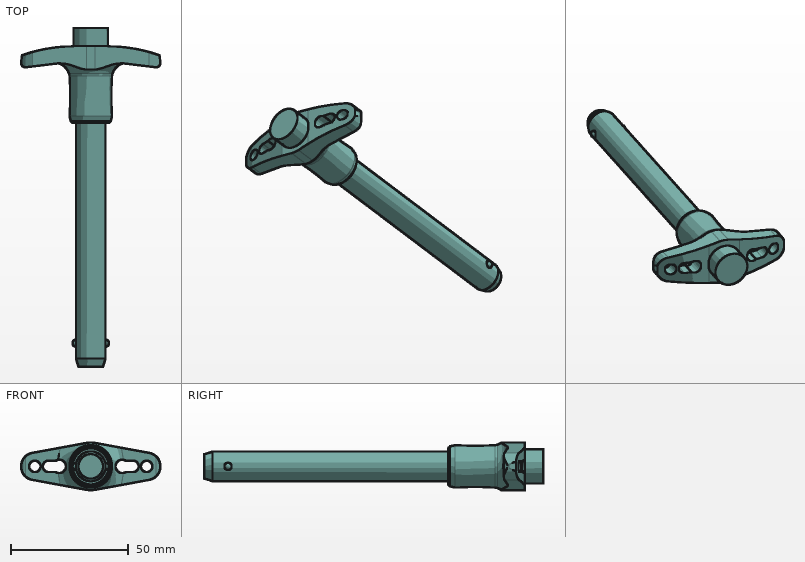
import math

import cadquery as cq


BUTTON_END_Y = 40.4
HANDLE_TOP_Y = 32.6
TOTAL_LENGTH = 143.76
SHANK_END_Y = BUTTON_END_Y - TOTAL_LENGTH

BUTTON_RADIUS = 7.35
SHANK_RADIUS = 6.35
SHANK_TIP_RADIUS = 5.2
SHANK_TIP_LENGTH = 3.6

BALL_RADIUS = 1.55
BALL_OFFSET = 6.2
BALL_TO_SHANK_END = 10.1
BALL_Y = SHANK_END_Y + BALL_TO_SHANK_END

HANDLE_HALF_WIDTH = 10.16
HANDLE_HALF_LENGTH = 29.56
TIP_RADIUS = 5.86
TIP_CENTER_X = HANDLE_HALF_LENGTH - TIP_RADIUS

TOP_FLAT_HALF_LENGTH = 7.0
TOP_ARC_RADIUS = 66.0
TIP_TOP_X = 29.2
TIP_CREST_OVERHANG = 0.02
TIP_CREST_X = HANDLE_HALF_LENGTH + TIP_CREST_OVERHANG
TIP_CREST_Y = 25.6
TIP_ROUND_RADIUS = 2.0
UNDERSIDE_APEX_Y = 26.95
TIP_BOTTOM_Y = TIP_CREST_Y - TIP_ROUND_RADIUS
TIP_BOTTOM_X = TIP_CREST_X - TIP_ROUND_RADIUS

FLARE_RADIUS = 15.8
FLARE_Y = 25.35
FLARE_RIM_RADIUS = 16.6
FLARE_OVERLAP = 2.0
FLARE_MID_RADIUS = 10.3
FLARE_MID_Y = 22.95
NECK_RADIUS = 9.27
NECK_Y = 21.0
COLLAR_RADIUS = 9.05
COLLAR_TOP_Y = 20.0
COLLAR_BOTTOM_Y = 3.0
WAIST_RADIUS = 8.8
COLLAR_EDGE_RADIUS = 8.55
COLLAR_EDGE_Y = 0.9
COLLAR_FACE_RADIUS = 7.65

HOLE_RADIUS = 2.38
SLOT_OUTER_X = 17.9
SLOT_INNER_X = 13.35
SLOT_INNER_RADIUS = 2.8

TRIM_MARGIN = 1.0
SIDES = (-1, 1)


def y_cylinder(radius, y_start, y_end, x=0.0):
    """Cylinder parallel to Y between two Y positions."""
    return cq.Workplane("XZ", origin=(x, y_start, 0)).circle(radius).extrude(y_start - y_end)


def handle_outline():
    """Prism of the handle outline, running along Y over the handle thickness."""
    flank_angle = math.asin((HANDLE_HALF_WIDTH - TIP_RADIUS) / TIP_CENTER_X)
    flank_x = math.sin(flank_angle)
    flank_z = math.cos(flank_angle)
    center_x = HANDLE_HALF_WIDTH * flank_x
    center_z = HANDLE_HALF_WIDTH * flank_z
    tip_x = TIP_CENTER_X + TIP_RADIUS * flank_x
    tip_z = TIP_RADIUS * flank_z
    return (
        cq.Workplane("XZ", origin=(0, HANDLE_TOP_Y + TRIM_MARGIN, 0))
        .moveTo(-center_x, center_z)
        .threePointArc((0, HANDLE_HALF_WIDTH), (center_x, center_z))
        .lineTo(tip_x, tip_z)
        .threePointArc((HANDLE_HALF_LENGTH, 0), (tip_x, -tip_z))
        .lineTo(center_x, -center_z)
        .threePointArc((0, -HANDLE_HALF_WIDTH), (-center_x, -center_z))
        .lineTo(-tip_x, -tip_z)
        .threePointArc((-HANDLE_HALF_LENGTH, 0), (-tip_x, tip_z))
        .close()
        .extrude(HANDLE_TOP_Y - NECK_Y + 2 * TRIM_MARGIN)
    )


def top_arc_y(x):
    """Height of the arched top of a handle wing."""
    run = x - TOP_FLAT_HALF_LENGTH
    return HANDLE_TOP_Y - TOP_ARC_RADIUS + math.sqrt(TOP_ARC_RADIUS**2 - run**2)


def wing_profile(side):
    """Prism along Z of the side profile of one wing, wider than the handle outline."""
    prism_half_width = HANDLE_HALF_WIDTH + TRIM_MARGIN
    arc_mid_x = (TOP_FLAT_HALF_LENGTH + TIP_TOP_X) / 2
    diagonal = TIP_ROUND_RADIUS * math.sqrt(0.5)
    return (
        cq.Workplane("XY", origin=(0, 0, -prism_half_width))
        .moveTo(0, HANDLE_TOP_Y)
        .lineTo(side * TOP_FLAT_HALF_LENGTH, HANDLE_TOP_Y)
        .threePointArc(
            (side * arc_mid_x, top_arc_y(arc_mid_x)),
            (side * TIP_TOP_X, top_arc_y(TIP_TOP_X)),
        )
        .lineTo(side * TIP_CREST_X, TIP_CREST_Y)
        .threePointArc(
            (side * (TIP_BOTTOM_X + diagonal), TIP_CREST_Y - diagonal),
            (side * TIP_BOTTOM_X, TIP_BOTTOM_Y),
        )
        .lineTo(0, UNDERSIDE_APEX_Y)
        .close()
        .extrude(2 * prism_half_width)
    )


def flare():
    """Concave flare of revolution that blends the handle underside into the neck."""
    flare_top_y = FLARE_Y + FLARE_OVERLAP
    return (
        cq.Workplane("XY")
        .moveTo(0, NECK_Y)
        .lineTo(NECK_RADIUS, NECK_Y)
        .threePointArc((FLARE_MID_RADIUS, FLARE_MID_Y), (FLARE_RADIUS, FLARE_Y))
        .lineTo(FLARE_RIM_RADIUS, FLARE_Y)
        .lineTo(FLARE_RIM_RADIUS, flare_top_y)
        .lineTo(0, flare_top_y)
        .close()
        .revolve(360, (0, 0, 0), (0, 1, 0))
    )


def handle():
    """T-handle: wings and flare trimmed to the handle outline."""
    body = flare()
    for side in SIDES:
        body = body.union(wing_profile(side))
    return body.intersect(handle_outline())


def collar():
    """Slightly waisted collar below the handle."""
    waist_y = (COLLAR_TOP_Y + COLLAR_BOTTOM_Y) / 2
    return (
        cq.Workplane("XY")
        .moveTo(0, NECK_Y)
        .lineTo(NECK_RADIUS, NECK_Y)
        .lineTo(COLLAR_RADIUS, COLLAR_TOP_Y)
        .threePointArc((WAIST_RADIUS, waist_y), (COLLAR_RADIUS, COLLAR_BOTTOM_Y))
        .lineTo(COLLAR_EDGE_RADIUS, COLLAR_EDGE_Y)
        .lineTo(COLLAR_FACE_RADIUS, 0)
        .lineTo(0, 0)
        .close()
        .revolve(360, (0, 0, 0), (0, 1, 0))
    )


def shank():
    """Round shank with a tapered end."""
    return (
        cq.Workplane("XY")
        .moveTo(0, 0)
        .lineTo(SHANK_RADIUS, 0)
        .lineTo(SHANK_RADIUS, SHANK_END_Y + SHANK_TIP_LENGTH)
        .lineTo(SHANK_TIP_RADIUS, SHANK_END_Y)
        .lineTo(0, SHANK_END_Y)
        .close()
        .revolve(360, (0, 0, 0), (0, 1, 0))
    )


def wing_holes(side):
    """Lanyard hole and keyhole slot of one wing."""
    slot_length = SLOT_OUTER_X - SLOT_INNER_X
    slot_mid_x = side * (SLOT_OUTER_X + SLOT_INNER_X) / 2
    depth = HANDLE_TOP_Y - NECK_Y
    slot = (
        cq.Workplane("XZ", origin=(0, HANDLE_TOP_Y, 0))
        .center(slot_mid_x, 0)
        .slot2D(slot_length + 2 * HOLE_RADIUS, 2 * HOLE_RADIUS)
        .extrude(depth)
    )
    lanyard_hole = y_cylinder(HOLE_RADIUS, HANDLE_TOP_Y, NECK_Y, side * TIP_CENTER_X)
    slot_end = y_cylinder(SLOT_INNER_RADIUS, HANDLE_TOP_Y, NECK_Y, side * SLOT_INNER_X)
    return slot.union(slot_end).union(lanyard_hole)


def ball(side):
    """Locking ball standing proud of the shank."""
    return (
        cq.Workplane("XY", origin=(side * BALL_OFFSET, BALL_Y, 0))
        .moveTo(-BALL_RADIUS, 0)
        .threePointArc((0, BALL_RADIUS), (BALL_RADIUS, 0))
        .close()
        .revolve(360, (0, 0, 0), (1, 0, 0))
    )


result = handle()
for wing_side in SIDES:
    result = result.cut(wing_holes(wing_side))
result = result.union(collar()).union(shank())
result = result.union(y_cylinder(BUTTON_RADIUS, BUTTON_END_Y, HANDLE_TOP_Y))
for ball_side in SIDES:
    result = result.union(ball(ball_side))